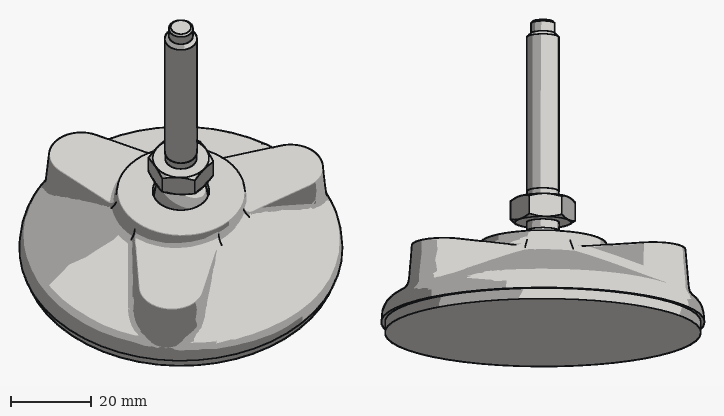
import cadquery as cq
import math

BASE_DIAMETER = 80.0
TOTAL_HEIGHT = 78.78
DRAFT_ANGLE = 5.0

FOOT_DIAMETER = 78.2
FOOT_HEIGHT = 2.65
RIM_EDGE = (BASE_DIAMETER / 2, FOOT_HEIGHT)
CONE_ANGLE = 25.65
CONE_REF_RADIUS = 37.5
CONE_REF_HEIGHT = 7.95
RIM_FILLET = 4.0
HUB_TOP_HEIGHT = 22.55
HUB_BASE_RADIUS = 16.15
HUB_FILLET = 4.6
EDGE_FILLET = 0.5

LUG_COUNT = 3
LUG_FIRST_ANGLE = 90.0
LUG_TOP_HEIGHT = 18.55
LUG_END_CENTER = 30.0
LUG_END_RADIUS = 8.0
LUG_FLARE_ANGLE = 8.0
LUG_INNER_DISTANCE = 10.0
LUG_BOTTOM_HEIGHT = 5.0
LUG_HUB_FILLET = 2.6
LUG_BASE_FILLET = 2.5
LUG_EDGE_FILLET = 0.5

WORK_HEIGHT = 30.0

TOLERANCE = 1e-3

BALL_DIAMETER = 13.38
BALL_CENTER_HEIGHT = 20.4
SOCKET_DIAMETER = 14.0
COLLAR_DIAMETER = 8.06
RELIEF_DIAMETER = 7.86
STEM_DIAMETER = 8.0
STEM_START = 35.8
TIP_DIAMETER = 6.0
TIP_LENGTH = 3.0
TIP_CHAMFER = 0.5
HEX_BOTTOM = 27.9
HEX_HEIGHT = 5.85
HEX_ACROSS_FLATS = 14.0
HEX_FACE_DIAMETER = 13.9
HEX_CHAMFER_ANGLE = 30.0


def revolve_profile(profile):
    """Turn a closed (radius, height) profile in the XZ plane about Z.

    The seam is put midway between two lugs, where it crosses no edge of theirs.
    """
    seam_angle = LUG_FIRST_ANGLE - 180 / LUG_COUNT
    return profile.close().revolve(360, (0, 0, 0), (0, 1, 0)).rotate((0, 0, 0), (0, 0, 1), seam_angle)


def rounded_corner(before, corner, after, radius):
    """Start, middle and end of the arc that rounds a profile corner."""

    def unit_to(target):
        dx = target[0] - corner[0]
        dz = target[1] - corner[1]
        length = math.hypot(dx, dz)
        return dx / length, dz / length

    ux, uz = unit_to(before)
    vx, vz = unit_to(after)
    half_angle = math.acos(ux * vx + uz * vz) / 2
    tangent_length = radius / math.tan(half_angle)
    middle_distance = radius / math.sin(half_angle) - radius
    bisector_length = math.hypot(ux + vx, uz + vz)
    start = (corner[0] + tangent_length * ux, corner[1] + tangent_length * uz)
    middle = (
        corner[0] + middle_distance * (ux + vx) / bisector_length,
        corner[1] + middle_distance * (uz + vz) / bisector_length,
    )
    end = (corner[0] + tangent_length * vx, corner[1] + tangent_length * vz)
    return start, middle, end


def wall_meets_cone(wall_radius, wall_height):
    """Point where a drafted wall through the given point reaches the cone."""
    draft = math.tan(math.radians(DRAFT_ANGLE))
    slope = math.tan(math.radians(CONE_ANGLE))
    cone_height = CONE_REF_HEIGHT + slope * (CONE_REF_RADIUS - wall_radius)
    rise = (cone_height - wall_height) / (1 - slope * draft)
    return wall_radius - draft * rise, wall_height + rise


def hub_radius_at(height):
    return HUB_BASE_RADIUS - (height - LUG_TOP_HEIGHT) * math.tan(math.radians(DRAFT_ANGLE))


def round_off(profile, corners):
    """Extend a profile through (before, corner, after, radius) rounded corners."""
    for before, corner, after, radius in corners:
        start, middle, end = rounded_corner(before, corner, after, radius)
        profile = profile.lineTo(*start).threePointArc(middle, end)
    return profile


def foot_profile():
    return (
        cq.Workplane("XZ")
        .lineTo(FOOT_DIAMETER / 2, 0)
        .lineTo(FOOT_DIAMETER / 2, FOOT_HEIGHT)
        .lineTo(*RIM_EDGE)
    )


def make_base():
    """Foot, rim, cone and hub."""
    rim_corner = wall_meets_cone(*RIM_EDGE)
    hub_corner = wall_meets_cone(HUB_BASE_RADIUS, LUG_TOP_HEIGHT)
    hub_edge = (hub_radius_at(HUB_TOP_HEIGHT), HUB_TOP_HEIGHT)
    hub_center = (0, HUB_TOP_HEIGHT)
    corners = (
        (RIM_EDGE, rim_corner, hub_corner, RIM_FILLET),
        (rim_corner, hub_corner, hub_edge, HUB_FILLET),
        (hub_corner, hub_edge, hub_center, EDGE_FILLET),
    )
    return revolve_profile(round_off(foot_profile(), corners).lineTo(*hub_center))


def make_full_cone():
    """Foot, rim and cone without the hub, the cone running up to its apex."""
    rim_corner = wall_meets_cone(*RIM_EDGE)
    apex = (0, CONE_REF_HEIGHT + CONE_REF_RADIUS * math.tan(math.radians(CONE_ANGLE)))
    corners = ((RIM_EDGE, rim_corner, apex, RIM_FILLET),)
    return revolve_profile(round_off(foot_profile(), corners).lineTo(*apex))


def make_lug_block():
    """Drafted block along +X that narrows outwards to a round end, up to WORK_HEIGHT."""
    flare = math.radians(LUG_FLARE_ANGLE)

    inset = (WORK_HEIGHT - LUG_TOP_HEIGHT) * math.tan(math.radians(DRAFT_ANGLE))
    end_radius = LUG_END_RADIUS - inset
    tangent_x = LUG_END_CENTER + end_radius * math.sin(flare)
    tangent_y = end_radius * math.cos(flare)
    inner_y = tangent_y + (tangent_x - LUG_INNER_DISTANCE) * math.tan(flare)
    return (
        cq.Workplane("XY")
        .workplane(offset=WORK_HEIGHT)
        .moveTo(LUG_INNER_DISTANCE, -inner_y)
        .lineTo(tangent_x, -tangent_y)
        .threePointArc((LUG_END_CENTER + end_radius, 0), (tangent_x, tangent_y))
        .lineTo(LUG_INNER_DISTANCE, inner_y)
        .close()
        .extrude(LUG_BOTTOM_HEIGHT - WORK_HEIGHT, taper=-DRAFT_ANGLE)
    )


def lug_blend_arc():
    """Arc that leads from the lug top up to the hub wall."""
    outside = (BASE_DIAMETER, LUG_TOP_HEIGHT)
    foot_of_hub = (HUB_BASE_RADIUS, LUG_TOP_HEIGHT)
    hub_edge = (hub_radius_at(HUB_TOP_HEIGHT), HUB_TOP_HEIGHT)
    return rounded_corner(outside, foot_of_hub, hub_edge, LUG_HUB_FILLET)


def make_lug_envelope():
    """Turned limit of the lugs: flat at their top, then an arc tangent to the hub wall."""
    start, middle, end = lug_blend_arc()
    return revolve_profile(
        cq.Workplane("XZ")
        .lineTo(BASE_DIAMETER, 0)
        .lineTo(BASE_DIAMETER, LUG_TOP_HEIGHT)
        .lineTo(*start)
        .threePointArc(middle, end)
        .lineTo(0, end[1])
    )


def make_lug():
    """Lug along +X on the cone, with rounded foot and top edge.

    The block starts out too tall, so that the rounding of its foot can run on
    past the lug top, and is then cut down to the envelope.
    """
    cone = make_full_cone()
    block = make_lug_block()
    body = cone.union(block)

    def lies_on(part, point):
        vertex = cq.Vertex.makeVertex(*point.toTuple())
        return part.val().Shells()[0].distance(vertex) < TOLERANCE

    def is_foot_edge(edge):
        point = edge.positionAt(0.5)
        on_both = lies_on(cone, point) and lies_on(block, point)
        return on_both and point.x > LUG_INNER_DISTANCE + TOLERANCE

    foot_edges = [edge for edge in body.edges().vals() if is_foot_edge(edge)]
    body = body.newObject(foot_edges).fillet(LUG_BASE_FILLET)
    body = body.intersect(make_lug_envelope())

    blend_radius = lug_blend_arc()[0][0]

    def is_top_edge(edge):
        point = edge.positionAt(0.5)
        on_top = abs(point.z - LUG_TOP_HEIGHT) < TOLERANCE
        on_blend = abs(math.hypot(point.x, point.y) - blend_radius) < TOLERANCE
        return on_top and point.x > HUB_BASE_RADIUS / 2 and not on_blend

    top_edges = [edge for edge in body.edges().vals() if is_top_edge(edge)]
    return body.newObject(top_edges).fillet(LUG_EDGE_FILLET)


def make_stem():
    """Ball, collar, relief, stem and stepped tip, turned about Z."""
    ball_radius = BALL_DIAMETER / 2
    collar_radius = COLLAR_DIAMETER / 2
    relief_radius = RELIEF_DIAMETER / 2
    stem_radius = STEM_DIAMETER / 2
    tip_radius = TIP_DIAMETER / 2
    ball_top = BALL_CENTER_HEIGHT + math.sqrt(ball_radius**2 - collar_radius**2)
    shoulder = TOTAL_HEIGHT - TIP_LENGTH
    middle_angle = math.acos(collar_radius / ball_radius) / 2
    ball_middle = (
        ball_radius * math.cos(middle_angle),
        BALL_CENTER_HEIGHT + ball_radius * math.sin(middle_angle),
    )
    return revolve_profile(
        cq.Workplane("XZ")
        .moveTo(0, BALL_CENTER_HEIGHT)
        .lineTo(ball_radius, BALL_CENTER_HEIGHT)
        .threePointArc(ball_middle, (collar_radius, ball_top))
        .lineTo(collar_radius, HEX_BOTTOM)
        .lineTo(relief_radius, HEX_BOTTOM)
        .lineTo(relief_radius, STEM_START)
        .lineTo(stem_radius, STEM_START)
        .lineTo(stem_radius, shoulder - (stem_radius - tip_radius))
        .lineTo(tip_radius, shoulder)
        .lineTo(tip_radius, TOTAL_HEIGHT - TIP_CHAMFER)
        .lineTo(tip_radius - TIP_CHAMFER, TOTAL_HEIGHT)
        .lineTo(0, TOTAL_HEIGHT)
    )


def make_hexagon():
    """Hexagon with two corners on the X axis, chamfered at both ends."""
    corner_radius = HEX_ACROSS_FLATS / math.sqrt(3)
    face_radius = HEX_FACE_DIAMETER / 2
    drop = (corner_radius - face_radius) * math.tan(math.radians(HEX_CHAMFER_ANGLE))
    top = HEX_BOTTOM + HEX_HEIGHT
    prism = (
        cq.Workplane("XY")
        .workplane(offset=HEX_BOTTOM)
        .polygon(6, 2 * corner_radius)
        .extrude(HEX_HEIGHT)
    )
    envelope = revolve_profile(
        cq.Workplane("XZ")
        .moveTo(0, HEX_BOTTOM)
        .lineTo(face_radius, HEX_BOTTOM)
        .lineTo(corner_radius, HEX_BOTTOM + drop)
        .lineTo(corner_radius, top - drop)
        .lineTo(face_radius, top)
        .lineTo(0, top)
    )
    return prism.intersect(envelope)


def make_socket():
    """Cylinder that clears the ball from its centre up to the hub top."""
    depth = HUB_TOP_HEIGHT - BALL_CENTER_HEIGHT
    return cq.Workplane("XY").workplane(offset=BALL_CENTER_HEIGHT).circle(SOCKET_DIAMETER / 2).extrude(depth)


lug = make_lug()
result = make_base()
for i in range(LUG_COUNT):
    angle = LUG_FIRST_ANGLE + i * 360 / LUG_COUNT
    result = result.union(lug.rotate((0, 0, 0), (0, 0, 1), angle))
result = result.cut(make_socket()).union(make_stem()).union(make_hexagon())